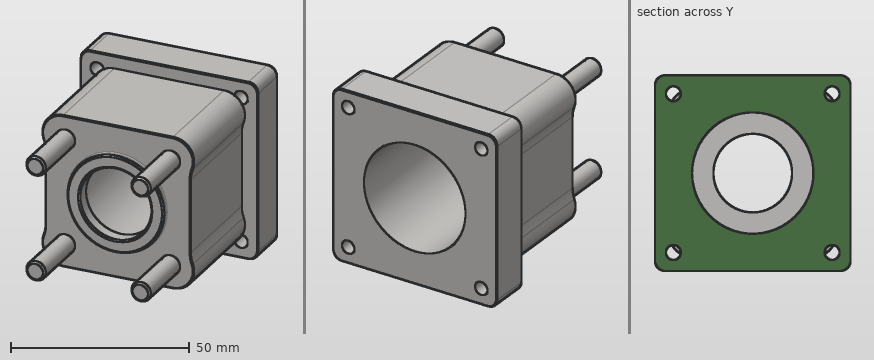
import cadquery as cq
import math

FLANGE_SIDE = 55.0
FLANGE_THICKNESS = 13.0
FLANGE_CORNER_RADIUS = 3.0

BODY_HEIGHT = 47.0
WAIST_WIDTH = 45.0
BODY_LENGTH = 34.0
BODY_CORNER_RADIUS = 6.5
WAIST_BLEND_RADIUS = 10.0

EDGE_CHAMFER = 0.3

SPIGOT_DIAMETER = 30.0
SPIGOT_HEIGHT = 1.8
BORE_DIAMETER = 22.0
CAVITY_DIAMETER = 34.0
BORE_LENGTH = 4.3
SPIGOT_CHAMFER = 0.5
SPIGOT_FILLET = 0.3
BORE_CHAMFER = 0.5

PIN_DIAMETER = 6.0
PIN_LENGTH = 20.0
PIN_CIRCLE_DIAMETER = 46.0
PIN_CHAMFER = 0.6

HOLE_DIAMETER = 4.13
HOLE_CIRCLE_DIAMETER = 63.0

BODY_FRONT = -BODY_LENGTH
SPIGOT_FRONT = BODY_FRONT - SPIGOT_HEIGHT


def section_at(y):
    """Workplane at the given Y that extrudes toward -Y (local x = X, local y = Z)."""
    return cq.Workplane("XZ", origin=(0, y, 0))


def corner_points(circle_diameter):
    """Four points on the diagonals of a circle."""
    offset = circle_diameter / 2 * math.sqrt(0.5)
    return [(x, z) for x in (-offset, offset) for z in (-offset, offset)]


def make_flange():
    plate = section_at(FLANGE_THICKNESS).rect(FLANGE_SIDE, FLANGE_SIDE).extrude(FLANGE_THICKNESS)
    plate = plate.edges("|Y").fillet(FLANGE_CORNER_RADIUS)
    return plate.faces("<Y or >Y").edges().chamfer(EDGE_CHAMFER)


def make_body():
    half_height = BODY_HEIGHT / 2
    half_waist = WAIST_WIDTH / 2
    corner_center = half_height - BODY_CORNER_RADIUS

    radius_sum = BODY_CORNER_RADIUS + WAIST_BLEND_RADIUS
    sweep = math.acos(1 - (half_height - half_waist) / radius_sum)
    tangent_x = corner_center + BODY_CORNER_RADIUS * math.cos(sweep)
    tangent_z = corner_center - BODY_CORNER_RADIUS * math.sin(sweep)
    waist_z = corner_center - radius_sum * math.sin(sweep)

    corner_mid_angle = (math.pi / 2 - sweep) / 2
    corner_mid_x = corner_center + BODY_CORNER_RADIUS * math.cos(corner_mid_angle)
    corner_mid_z = corner_center + BODY_CORNER_RADIUS * math.sin(corner_mid_angle)
    blend_mid_x = half_waist + WAIST_BLEND_RADIUS * (1 - math.cos(sweep / 2))
    blend_mid_z = waist_z + WAIST_BLEND_RADIUS * math.sin(sweep / 2)

    quarter = (
        section_at(0)
        .lineTo(half_waist, 0)
        .lineTo(half_waist, waist_z)
        .threePointArc((blend_mid_x, blend_mid_z), (tangent_x, tangent_z))
        .threePointArc((corner_mid_x, corner_mid_z), (corner_center, half_height))
        .lineTo(0, half_height)
        .close()
        .extrude(BODY_LENGTH)
    )
    half = quarter.union(quarter.mirror("YZ"))
    body = half.union(half.mirror("XY")).clean()
    return body.faces("<Y").edges().chamfer(EDGE_CHAMFER)


def make_spigot():
    """Centring spigot with a chamfered rim and a fillet where it meets the body."""
    radius = SPIGOT_DIAMETER / 2
    fillet_end_y = BODY_FRONT - SPIGOT_FILLET
    fillet_mid = SPIGOT_FILLET * (1 - math.sqrt(0.5))
    return (
        cq.Workplane("XY")
        .moveTo(0, BODY_FRONT)
        .lineTo(radius + SPIGOT_FILLET, BODY_FRONT)
        .threePointArc((radius + fillet_mid, BODY_FRONT - fillet_mid), (radius, fillet_end_y))
        .lineTo(radius, SPIGOT_FRONT + SPIGOT_CHAMFER)
        .lineTo(radius - SPIGOT_CHAMFER, SPIGOT_FRONT)
        .lineTo(0, SPIGOT_FRONT)
        .close()
        .revolve(360, (0, 0, 0), (0, 1, 0))
    )


def make_pins():
    pins = (
        section_at(BODY_FRONT)
        .pushPoints(corner_points(PIN_CIRCLE_DIAMETER))
        .circle(PIN_DIAMETER / 2)
        .extrude(PIN_LENGTH)
    )
    return pins.faces("<Y").edges().chamfer(PIN_CHAMFER)


def make_stepped_bore():
    """Cavity open at the rear, narrowing to a bore with a chamfered mouth at the front."""
    bore_radius = BORE_DIAMETER / 2
    cavity_radius = CAVITY_DIAMETER / 2
    cavity_front = SPIGOT_FRONT + BORE_LENGTH
    profile = [
        (0, SPIGOT_FRONT),
        (bore_radius + BORE_CHAMFER, SPIGOT_FRONT),
        (bore_radius, SPIGOT_FRONT + BORE_CHAMFER),
        (bore_radius, cavity_front),
        (cavity_radius, cavity_front),
        (cavity_radius, FLANGE_THICKNESS),
        (0, FLANGE_THICKNESS),
    ]
    return cq.Workplane("XY").polyline(profile).close().revolve(360, (0, 0, 0), (0, 1, 0))


def make_mounting_holes():
    return (
        section_at(FLANGE_THICKNESS)
        .pushPoints(corner_points(HOLE_CIRCLE_DIAMETER))
        .circle(HOLE_DIAMETER / 2)
        .extrude(FLANGE_THICKNESS)
    )


flange = make_flange().cut(make_mounting_holes())
result = flange.union(make_body()).union(make_spigot()).union(make_pins()).cut(make_stepped_bore())